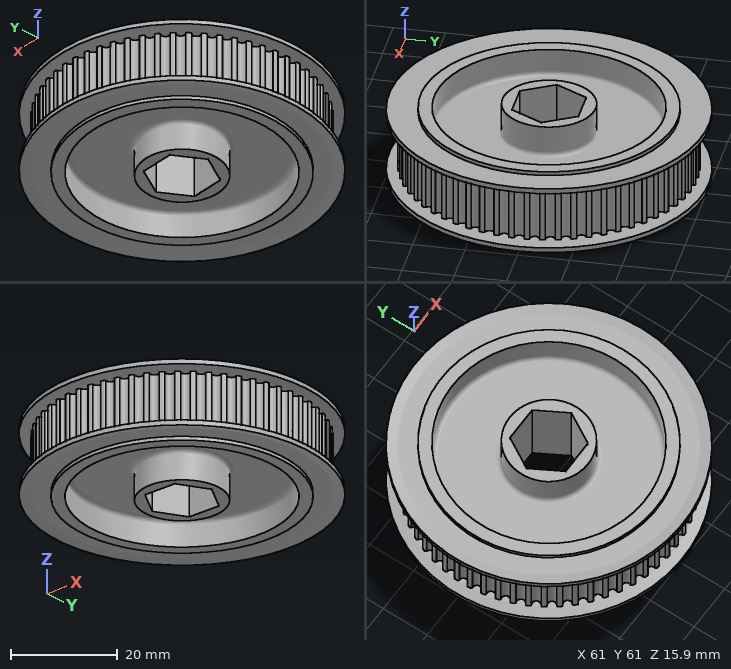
import cadquery as cq
import math

flange_radius = 30.5
hub_height = 15.85

tooth_count = 60
tooth_radius = 28.3
groove_depth = 1.2
groove_radius = 0.9
tip_radius = 0.3
belt_width = 10.7

flange_thickness = 1.05
flare_start_radius = tooth_radius
flare_rise = 0.5

rim_outer_radius = 24.5
rim_inner_radius = 21.9
rim_height = 14.35
web_thickness = 3.2
hub_radius = 8.9
fillet_radius = 1.0
hex_across_flats = 12.7


def polar(radius, angle):
    """Point at the given radius and angle (radians) in the XY plane."""
    return (radius * math.cos(angle), radius * math.sin(angle))


def toothed_core():
    """Belt track with round-bottomed grooves and rounded tooth tips, one groove on the +X axis."""
    pitch_angle = 2 * math.pi / tooth_count
    groove_floor = tooth_radius - groove_depth
    groove_center = groove_floor + groove_radius

    tip_offset = groove_radius + tip_radius
    tip_center_radius = tooth_radius - tip_radius
    tip_angle = math.asin(tip_offset / tip_center_radius)
    tip_x = tip_center_radius * math.cos(tip_angle)
    tip_mid_direction = (tip_angle - math.pi / 2) / 2
    tip_mid_x = tip_x + tip_radius * math.cos(tip_mid_direction)
    tip_mid_y = tip_offset + tip_radius * math.sin(tip_mid_direction)

    def placed(x, y, angle):
        """Point of the +X groove turned about the axis."""
        return polar(math.hypot(x, y), math.atan2(y, x) + angle)

    outline = cq.Workplane("XY").workplane(offset=-belt_width / 2)
    outline = outline.moveTo(*polar(tooth_radius, -tip_angle))
    for index in range(tooth_count):
        angle = index * pitch_angle
        outline = (
            outline
            .threePointArc(placed(tip_mid_x, -tip_mid_y, angle), placed(tip_x, -groove_radius, angle))
            .lineTo(*placed(groove_center, -groove_radius, angle))
            .threePointArc(placed(groove_floor, 0, angle), placed(groove_center, groove_radius, angle))
            .lineTo(*placed(tip_x, groove_radius, angle))
            .threePointArc(placed(tip_mid_x, tip_mid_y, angle), polar(tooth_radius, angle + tip_angle))
            .threePointArc(
                polar(tooth_radius, angle + pitch_angle / 2),
                polar(tooth_radius, angle + pitch_angle - tip_angle),
            )
        )
    return outline.close().extrude(belt_width)


def upper_flange():
    """Flared flange and raised rim above the belt track, as a revolved section."""
    inner_z = belt_width / 2
    outer_z = inner_z + flange_thickness
    section = [
        (0, inner_z),
        (flare_start_radius, inner_z),
        (flange_radius, inner_z + flare_rise),
        (flange_radius, outer_z + flare_rise),
        (flare_start_radius, outer_z),
        (rim_outer_radius, outer_z),
        (rim_outer_radius, rim_height / 2),
        (0, rim_height / 2),
    ]
    return cq.Workplane("XZ").polyline(section).close().revolve(360, (0, 0, 0), (0, 1, 0))


def upper_recess():
    """Annular pocket between rim and hub, with rounded corners along its floor."""
    pocket_depth = (hub_height - web_thickness) / 2
    return (
        cq.Workplane("XY")
        .workplane(offset=web_thickness / 2)
        .circle(rim_inner_radius)
        .circle(hub_radius)
        .extrude(pocket_depth)
        .faces("<Z")
        .edges()
        .fillet(fillet_radius)
    )


def mirrored_pair(upper):
    """The upper feature together with its mirror image below Z = 0."""
    return upper.union(upper.mirror("XY"))


hub = cq.Workplane("XY").circle(hub_radius).extrude(hub_height / 2, both=True)
hex_bore = (
    cq.Workplane("XY")
    .polygon(6, hex_across_flats / math.cos(math.pi / 6))
    .extrude(hub_height, both=True)
)

result = toothed_core().union(mirrored_pair(upper_flange())).union(hub)
result = result.cut(mirrored_pair(upper_recess())).cut(hex_bore)